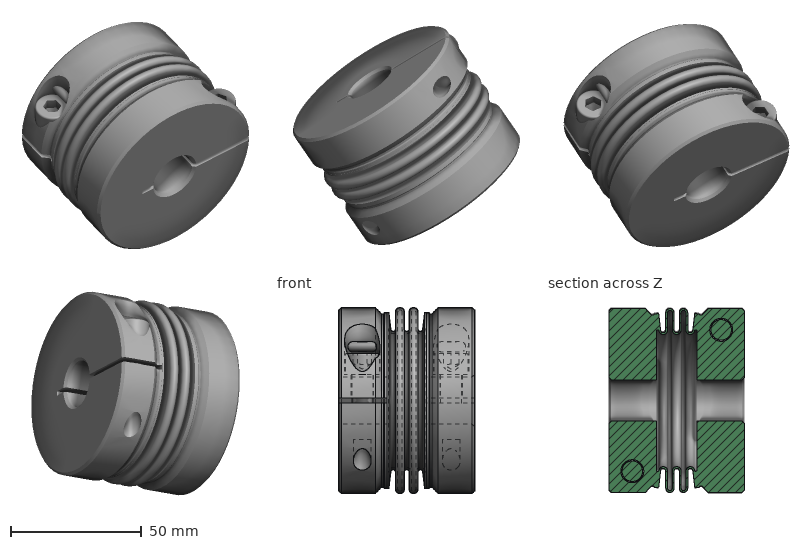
import cadquery as cq
import math


total_length = 52.0
hub_radius = 35.5
hub_end_chamfer = 1.0
bore_radius = 9.0
bore_chamfer = 1.0
neck_radius = 33.15
lip_radius = 67.1 / 2
cone_start = 12.0
lip_start = 8.9
hub_inner_face = 7.6
hub_outer_face = total_length / 2

slot_width = 1.8
slot_reach = 15.0
screw_x = -17.0
screw_y = -27.0
counterbore_radius = 13.5 / 2
clearance_radius = 8.6 / 2
tapped_radius = 6.8 / 2
head_radius = 13.0 / 2
head_edge_fillet = 0.7
shank_radius = 8.0 / 2
head_top = 18.0
head_height = 2 * shank_radius
head_seat = head_top - head_height
shank_length = 24.85
hex_across_flats = 6.0
hex_depth = 4.0
drill_point_angle = 118.0

pin_radius = 2.0
pin_length = 2 * counterbore_radius
pin_y = -21.0
pin_gap = 0.5

pitch = 5.2
crest_radius = 1.7
groove_radius = 26.4
wall = 0.85
rim_radius = 33.65
rim_thickness = 0.8
groove_rounding = pitch / 2 - crest_radius
crest_center = hub_radius - crest_radius
groove_center = groove_radius + groove_rounding


def revolve_about_x(outline):
    return outline.close().revolve(360, (0, 0, 0), (1, 0, 0))


def hub_blank():
    cone_end = cone_start - (hub_radius - neck_radius)
    lip_chamfer = lip_radius - neck_radius
    outline = (
        cq.Workplane("XY")
        .moveTo(-hub_outer_face, bore_radius + bore_chamfer)
        .lineTo(-hub_outer_face, hub_radius - hub_end_chamfer)
        .lineTo(-hub_outer_face + hub_end_chamfer, hub_radius)
        .lineTo(-cone_start, hub_radius)
        .lineTo(-cone_end, neck_radius)
        .lineTo(-lip_start, neck_radius)
        .lineTo(-lip_start + lip_chamfer, lip_radius)
        .lineTo(-hub_inner_face, lip_radius)
        .lineTo(-hub_inner_face, bore_radius)
        .lineTo(-hub_outer_face + bore_chamfer, bore_radius)
    )
    return revolve_about_x(outline)


def cylinder_along_z(radius, bottom, top):
    return (
        cq.Workplane("XY", origin=(screw_x, screw_y, bottom))
        .circle(radius)
        .extrude(top - bottom)
    )


def hex_socket(corner_angle):
    """Hexagonal socket with a conical bottom, open at the top of the head."""
    corner_radius = hex_across_flats / math.sqrt(3)
    point_depth = corner_radius / math.tan(math.radians(drill_point_angle / 2))
    prism = (
        cq.Workplane("XY")
        .polygon(6, 2 * corner_radius)
        .extrude(-hex_depth - point_depth)
        .rotate((0, 0, 0), (0, 0, 1), corner_angle)
    )
    drill = (
        cq.Workplane("XZ")
        .lineTo(corner_radius, 0)
        .lineTo(corner_radius, -hex_depth)
        .lineTo(0, -hex_depth - point_depth)
        .close()
        .revolve(360, (0, 0, 0), (0, 1, 0))
    )
    return prism.intersect(drill).translate((screw_x, screw_y, head_top))


def clamp_screw(corner_angle):
    head = cylinder_along_z(head_radius, head_seat, head_top)
    head = head.faces(">Z").edges().fillet(head_edge_fillet)
    shank = cylinder_along_z(shank_radius, head_seat - shank_length, head_seat)
    return head.union(shank).cut(hex_socket(corner_angle))


def retaining_pin():
    pin_z = head_top + pin_gap + pin_radius
    return (
        cq.Workplane("YZ", origin=(screw_x - pin_length / 2, pin_y, pin_z))
        .circle(pin_radius)
        .extrude(pin_length)
    )


def clamping_slot():
    middle_x = -(hub_outer_face + hub_inner_face) / 2
    middle_y = (slot_reach - hub_radius) / 2
    return (
        cq.Workplane("XY", origin=(middle_x, middle_y, 0))
        .box(hub_outer_face - hub_inner_face, hub_radius + slot_reach, slot_width)
    )


def clamping_hub(corner_angle):
    """Hub at the -X end, with its slot, screw and pin on the -Y side.

    corner_angle is the angle of a corner of the screw's hexagon from the X axis.
    """
    return (
        hub_blank()
        .cut(clamping_slot())
        .cut(cylinder_along_z(counterbore_radius, head_seat, hub_radius))
        .cut(cylinder_along_z(clearance_radius, 0, head_seat))
        .cut(cylinder_along_z(tapped_radius, -hub_radius, 0))
        .union(clamp_screw(corner_angle))
        .union(retaining_pin())
    )


def convolutions(outline, depth):
    """Trace grooves and crests from -X to +X on the surface lying depth below the outer one."""
    crest = crest_radius - depth
    groove = groove_rounding + depth
    for groove_x in (-pitch, 0, pitch):
        outline = (
            outline
            .lineTo(groove_x - groove, groove_center)
            .threePointArc((groove_x, groove_center - groove), (groove_x + groove, groove_center))
        )
        if groove_x < pitch:
            crest_x = groove_x + pitch / 2
            outline = (
                outline
                .lineTo(crest_x - crest, crest_center)
                .threePointArc((crest_x, crest_center + crest), (crest_x + crest, crest_center))
            )
    return outline


def bellows():
    """Thin corrugated tube with a rim at each end that rests on a hub's inner face."""
    rim_face = hub_inner_face - rim_thickness
    outer = (
        cq.Workplane("XY")
        .moveTo(-hub_inner_face, 0)
        .lineTo(-hub_inner_face, rim_radius)
        .lineTo(-rim_face, rim_radius)
    )
    outer = (
        convolutions(outer, 0)
        .lineTo(rim_face, rim_radius)
        .lineTo(hub_inner_face, rim_radius)
        .lineTo(hub_inner_face, 0)
    )
    hollow = (
        cq.Workplane("XY")
        .moveTo(-hub_inner_face, 0)
        .lineTo(-hub_inner_face, groove_center)
    )
    hollow = (
        convolutions(hollow, wall)
        .lineTo(hub_inner_face, groove_center)
        .lineTo(hub_inner_face, 0)
    )
    return revolve_about_x(outer).cut(revolve_about_x(hollow))


result = (
    clamping_hub(0)
    .union(bellows())
    .union(clamping_hub(30).rotate((0, 0, 0), (0, 0, 1), 180))
)